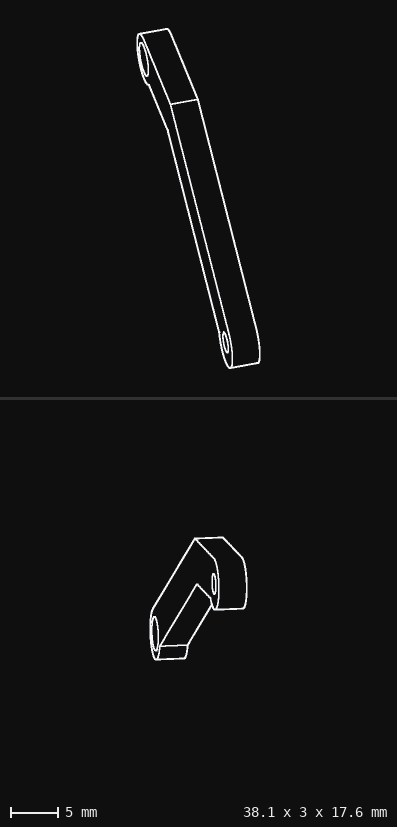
import cadquery as cq
import math

length = 38.15
height = 17.55
thickness = 3.0

end_radius = 2.75
arm_width = 4.7
bend_x = 13.35

ball_diameter = 3.7
entry_diameter = 3.6

right_x = length - 2 * end_radius
right_z = 2 * end_radius - height
bend_run = bend_x - end_radius

distance_to_end = math.hypot(right_x - bend_run, right_z - end_radius)
slope = math.atan2(end_radius - right_z, right_x - bend_run) - math.asin(end_radius / distance_to_end)
tangent_length = math.sqrt(distance_to_end**2 - end_radius**2)


def on_slope(along, below):
    """Point at a distance along the sloping upper edge and below it."""
    x = bend_run + along * math.cos(slope) - below * math.sin(slope)
    z = end_radius - along * math.sin(slope) - below * math.cos(slope)
    return x, z


lower_z = end_radius - arm_width
lower_bend = on_slope(arm_width * math.tan(slope / 2), arm_width)

arm = (
    cq.Workplane("XZ")
    .moveTo(0, end_radius)
    .lineTo(bend_run, end_radius)
    .lineTo(*on_slope(tangent_length, 0))
    .lineTo(right_x, right_z)
    .lineTo(*on_slope(tangent_length, arm_width))
    .lineTo(*lower_bend)
    .lineTo(0, lower_z)
    .close()
    .extrude(-thickness)
)
end_centres = [(0, 0), (right_x, right_z)]
ends = cq.Workplane("XZ").pushPoints(end_centres).circle(end_radius).extrude(-thickness)

mid_depth = thickness / 2
ball = cq.Workplane("XZ", origin=(0, mid_depth, 0)).sphere(ball_diameter / 2)
entry = cq.Workplane("XZ").circle(entry_diameter / 2).extrude(-mid_depth)
left_socket = ball.union(entry)

right_socket = left_socket.mirror("XZ").translate((right_x, thickness, right_z))

result = arm.union(ends).cut(left_socket).cut(right_socket)